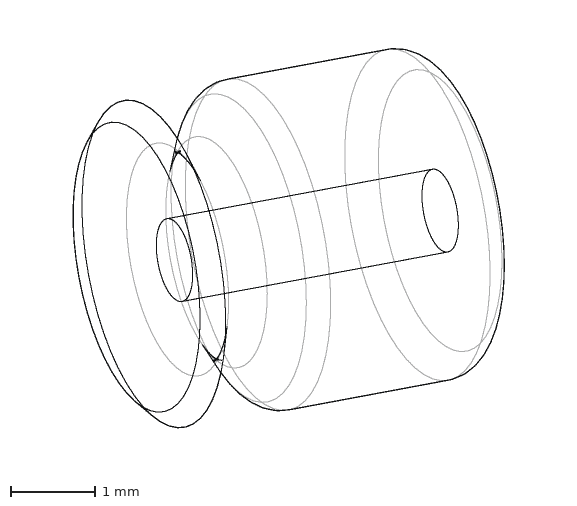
import cadquery as cq
import math

length = 4.0
body_radius = 2.0
lip_radius = 1.975
mouth_radius = 1.75
lip_depth = lip_radius - mouth_radius
bore_radius = 0.5
cup_depth = 0.5
round_radius = 0.3
neck_radius = 1.255
groove_position = 0.8
shoulder_position = 1.6
flank_angle = math.radians(60)


def arc_point(center, radius, angle):
    """Point (radial, axial) on an arc; the angle starts at the radial direction."""
    return (
        center[0] + radius * math.cos(angle),
        center[1] + radius * math.sin(angle),
    )


groove_center = (neck_radius + round_radius, groove_position)
shoulder_center = (body_radius - round_radius, shoulder_position)
back_center = (body_radius - round_radius, length - round_radius)

center_run = shoulder_center[0] - groove_center[0]
center_rise = shoulder_center[1] - groove_center[1]
center_distance = math.hypot(center_run, center_rise)
tangent_angle = math.atan2(center_run, center_rise) + math.asin(2 * round_radius / center_distance)

profile = (
    cq.Workplane("XY")
    .moveTo(bore_radius, cup_depth)
    .lineTo(mouth_radius, 0)
    .lineTo(lip_radius, lip_depth)
    .lineTo(*arc_point(groove_center, round_radius, math.pi + flank_angle))
    .threePointArc(
        (neck_radius, groove_position),
        arc_point(groove_center, round_radius, math.pi - tangent_angle),
    )
    .lineTo(*arc_point(shoulder_center, round_radius, -tangent_angle))
    .threePointArc(
        arc_point(shoulder_center, round_radius, -tangent_angle / 2),
        (body_radius, shoulder_position),
    )
    .lineTo(body_radius, back_center[1])
    .threePointArc(
        arc_point(back_center, round_radius, math.pi / 4),
        (back_center[0], length),
    )
    .lineTo(bore_radius, length)
    .close()
)

result = profile.revolve(360, (0, 0, 0), (0, 1, 0))